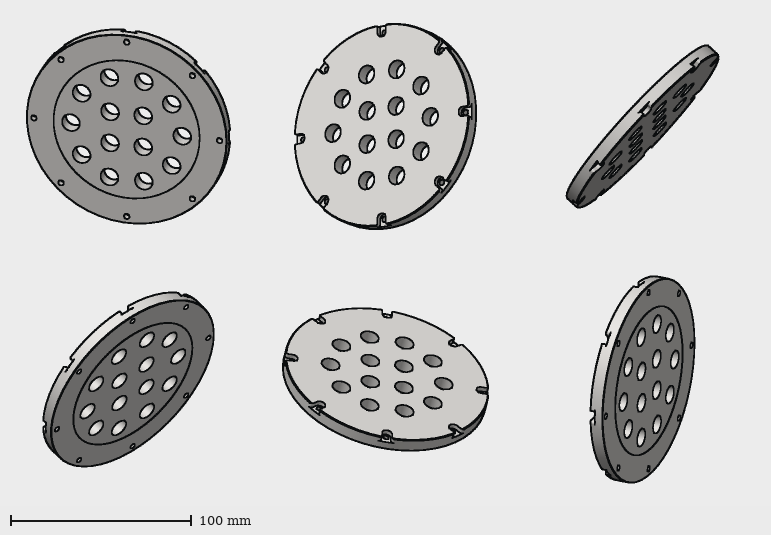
import cadquery as cq
import math

disc_diameter = 115.0
total_thickness = 8.0
back_rim_chamfer = 0.5
front_rim_chamfer = 0.29

pad_diameter = 83.9
pad_height = 0.2

bolt_count = 8
bolt_circle_radius = 53.3
bolt_hole_diameter = 3.1
pocket_width = 5.5
pocket_depth = 3.0
pocket_mouth_radius = 1.5

port_diameter = 10.1
outer_port_count = 10
outer_port_radius = 32.0
inner_port_count = 4
inner_port_radius = 13.5
inner_port_start_angle = 45.0

back_y = total_thickness / 2
front_y = -total_thickness / 2
rim_front_y = front_y + pad_height


def cylinder_along_y(diameter, start_y, end_y):
    """Cylinder on the disc axis between two Y positions."""
    base = cq.Workplane("XZ", origin=(0, start_y, 0))
    return base.circle(diameter / 2).extrude(start_y - end_y)


def ring_of_cylinders(count, ring_radius, diameter, start_y, end_y, start_angle=0.0):
    """Cylinders along Y, evenly spaced on a circle around the disc axis."""
    base = cq.Workplane("XZ", origin=(0, start_y, 0))
    centres = base.polarArray(ring_radius, start_angle, 360, count)
    return centres.circle(diameter / 2).extrude(start_y - end_y)


def make_disc():
    """Flange with bevelled rims and the raised front pad."""
    flange = cylinder_along_y(disc_diameter, rim_front_y, back_y)
    flange = flange.faces(">Y").edges().chamfer(back_rim_chamfer)
    flange = flange.faces("<Y").edges().chamfer(front_rim_chamfer)
    pad = cylinder_along_y(pad_diameter, front_y, back_y)
    return flange.union(pad)


def cut_ports(body):
    """Cut the two rings of large through holes."""
    outer = ring_of_cylinders(outer_port_count, outer_port_radius, port_diameter, front_y, back_y)
    inner = ring_of_cylinders(
        inner_port_count, inner_port_radius, port_diameter, front_y, back_y, inner_port_start_angle
    )
    return body.cut(outer).cut(inner)


def make_bolt_pocket():
    """U-shaped pocket on the +X axis whose sides round over tangentially into the rim."""
    rim_radius = disc_diameter / 2
    half_width = pocket_width / 2
    bore_inner_x = bolt_circle_radius - half_width
    rounding_z = half_width + pocket_mouth_radius
    rounding_to_axis = rim_radius - pocket_mouth_radius
    rounding_x = math.sqrt(rounding_to_axis**2 - rounding_z**2)
    rim_touch_x = rounding_x * rim_radius / rounding_to_axis
    rim_touch_z = rounding_z * rim_radius / rounding_to_axis
    rim_angle = math.atan2(rounding_z, rounding_x)
    middle_angle = (rim_angle - math.pi / 2) / 2
    middle_x = rounding_x + pocket_mouth_radius * math.cos(middle_angle)
    middle_z = rounding_z + pocket_mouth_radius * math.sin(middle_angle)
    outside_x = rim_radius + pocket_mouth_radius
    outline = (
        cq.Workplane("XZ", origin=(0, back_y, 0))
        .moveTo(outside_x, -rim_touch_z)
        .lineTo(rim_touch_x, -rim_touch_z)
        .threePointArc((middle_x, -middle_z), (rounding_x, -half_width))
        .lineTo(bolt_circle_radius, -half_width)
        .threePointArc((bore_inner_x, 0), (bolt_circle_radius, half_width))
        .lineTo(rounding_x, half_width)
        .threePointArc((middle_x, middle_z), (rim_touch_x, rim_touch_z))
        .lineTo(outside_x, rim_touch_z)
        .close()
    )
    return outline.extrude(pocket_depth)


def cut_bolt_holes(body):
    """Cut the bolt holes and the pockets that open through the rim."""
    holes = ring_of_cylinders(bolt_count, bolt_circle_radius, bolt_hole_diameter, front_y, back_y)
    body = body.cut(holes)
    pocket = make_bolt_pocket()
    for index in range(bolt_count):
        angle = index * 360 / bolt_count
        body = body.cut(pocket.rotate((0, 0, 0), (0, 1, 0), angle))
    return body


result = cut_bolt_holes(cut_ports(make_disc()))